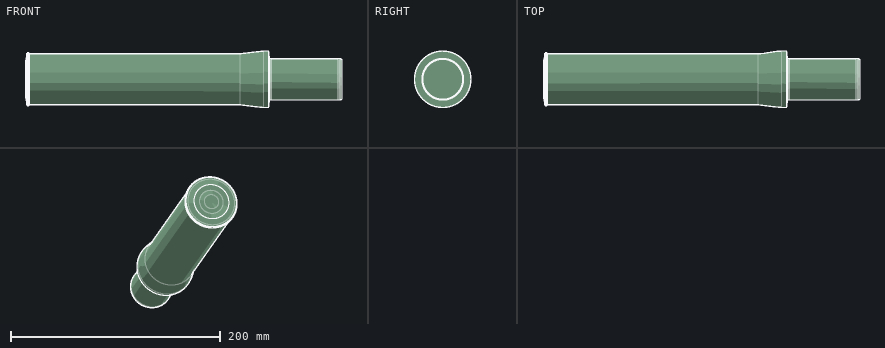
import cadquery as cq

total_length = 302.0
flare_start = 204.8
flare_end = 227.0
shoulder_outer_x = 232.0
shoulder_inner_x = 232.8
collar_end = 234.5

barrel_radius = 49.0 / 2
rim_radius = 25.5
flange_radius = 54.0 / 2
collar_radius = 40.0 / 2

rim_end = 4.0
rim_back_bevel = 1.0
face_radius = 22.5
face_edge_x = 1.2
outer_crest_radius = 17.0
valley_radius = 11.5
inner_crest_radius = 7.0
ripple_depth = 0.5
rim_corner_x = 2.0

spigot_radius = 39.5 / 2
end_band_radius = collar_radius
end_band_length = 4.5
end_band_ramp = 1.0
end_chamfer = 1.8
end_chamfer_height = 1.0


def revolve_about_x(profile):
    """Turn a closed XY half profile into a solid of revolution about X."""
    return profile.close().revolve(360, (0, 0, 0), (1, 0, 0))


def make_housing():
    """Barrel with a rimmed, rippled end, a smooth flare and a short collar."""
    profile = (
        cq.Workplane("XY")
        .moveTo(ripple_depth, 0)
        .lineTo(0, inner_crest_radius)
        .lineTo(ripple_depth, valley_radius)
        .lineTo(0, outer_crest_radius)
        .lineTo(face_edge_x, face_radius)
        .lineTo(face_edge_x, barrel_radius)
        .lineTo(rim_corner_x, rim_radius)
        .lineTo(rim_end - rim_back_bevel, rim_radius)
        .lineTo(rim_end, barrel_radius)
        .lineTo(flare_start, barrel_radius)
        .spline([(flare_end, flange_radius)], tangents=[(1, 0), (1, 0)], includeCurrent=True)
        .lineTo(shoulder_outer_x, flange_radius)
        .lineTo(shoulder_inner_x, collar_radius)
        .lineTo(collar_end, collar_radius)
        .lineTo(collar_end, 0)
    )
    return revolve_about_x(profile)


def make_spigot():
    """Plain rod seated on the collar, with a chamfered band at its free end."""
    band_start = total_length - end_band_length
    profile = (
        cq.Workplane("XY")
        .moveTo(collar_end, 0)
        .lineTo(collar_end, spigot_radius)
        .lineTo(band_start, spigot_radius)
        .lineTo(band_start + end_band_ramp, end_band_radius)
        .lineTo(total_length - end_chamfer, end_band_radius)
        .lineTo(total_length, end_band_radius - end_chamfer_height)
        .lineTo(total_length, 0)
    )
    return revolve_about_x(profile)


housing = make_housing()
spigot = make_spigot()

result = cq.Compound.makeCompound([housing.val(), spigot.val()])